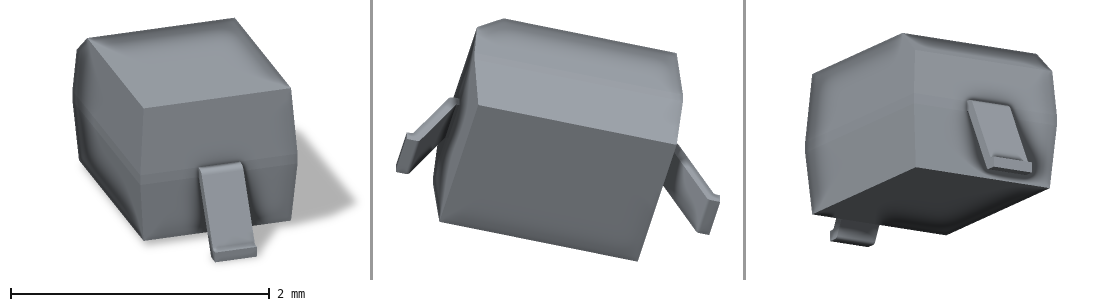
import cadquery as cq
import math

overall_length = 2.5
overall_height = 1.17

housing_length = 1.662
housing_width = 1.28
housing_bottom = 0.045
taper_inset = 0.04

bevel_run = 0.202
bevel_drop = 0.19

lead_thickness = 0.082
lead_width = 0.34
band_top = 0.625
band_bottom = band_top - lead_thickness
foot_length = 0.098
lead_slope = 61.3
shoulder_radius = 0.06
foot_radius = 0.03


def make_tapered_half(start_z, end_z):
    """Frustum from the full band outline to the inset end face."""
    return (
        cq.Workplane("XY", origin=(0, 0, start_z))
        .rect(housing_length, housing_width)
        .workplane(offset=end_z - start_z)
        .rect(housing_length - 2 * taper_inset, housing_width - 2 * taper_inset)
        .loft(ruled=True)
    )


def make_bevel_cutter():
    """Triangular prism that removes the top edge on the -X side."""
    top_corner_x = -housing_length / 2 + taper_inset
    taper_per_height = taper_inset / (overall_height - band_top)
    bevel_low_x = top_corner_x - bevel_drop * taper_per_height
    bevel_low_z = overall_height - bevel_drop
    bevel_slope = bevel_drop / (top_corner_x + bevel_run - bevel_low_x)
    reach = bevel_drop / bevel_slope
    outer_x = bevel_low_x - reach
    return (
        cq.Workplane("XZ")
        .moveTo(outer_x, bevel_low_z - bevel_drop)
        .lineTo(top_corner_x + bevel_run + reach, overall_height + bevel_drop)
        .lineTo(outer_x, overall_height + bevel_drop)
        .close()
        .extrude(housing_width / 2, both=True)
    )


def make_housing():
    band = (
        cq.Workplane("XY", origin=(0, 0, band_bottom))
        .rect(housing_length, housing_width)
        .extrude(lead_thickness)
    )
    upper_half = make_tapered_half(band_top, overall_height)
    lower_half = make_tapered_half(band_bottom, housing_bottom)
    return band.union(upper_half).union(lower_half).cut(make_bevel_cutter())


def make_lead():
    """Lead on the -X side: flat foot, sloping leg and shoulder meeting the housing face."""
    toe_x = -overall_length / 2
    housing_face_x = -housing_length / 2
    corner_shift = lead_thickness * math.tan(math.radians(lead_slope / 2))
    leg_run = band_bottom / math.tan(math.radians(lead_slope))
    heel_x = toe_x + foot_length
    foot_top_x = heel_x - corner_shift
    shoulder_under_x = heel_x + leg_run
    shoulder_top_x = shoulder_under_x - corner_shift

    lead = (
        cq.Workplane("XZ")
        .moveTo(toe_x, 0)
        .lineTo(heel_x, 0)
        .lineTo(shoulder_under_x, band_bottom)
        .lineTo(housing_face_x, band_bottom)
        .lineTo(housing_face_x, band_top)
        .lineTo(shoulder_top_x, band_top)
        .lineTo(foot_top_x, lead_thickness)
        .lineTo(toe_x, lead_thickness)
        .close()
        .extrude(lead_width / 2, both=True)
    )
    shoulder_edge = cq.selectors.NearestToPointSelector((shoulder_top_x, 0, band_top))
    heel_edge = cq.selectors.NearestToPointSelector((heel_x, 0, 0))
    foot_top_edge = cq.selectors.NearestToPointSelector((foot_top_x, 0, lead_thickness))
    lead = lead.edges("|Y").edges(shoulder_edge).fillet(shoulder_radius)
    lead = lead.edges("|Y").edges(heel_edge).fillet(foot_radius)
    return lead.edges("|Y").edges(foot_top_edge).fillet(foot_radius)


housing = make_housing()
leads = []
for turn in (0, 180):
    leads.append(make_lead().rotate((0, 0, 0), (0, 0, 1), turn).val())

result = cq.Compound.makeCompound([housing.val(), *leads])